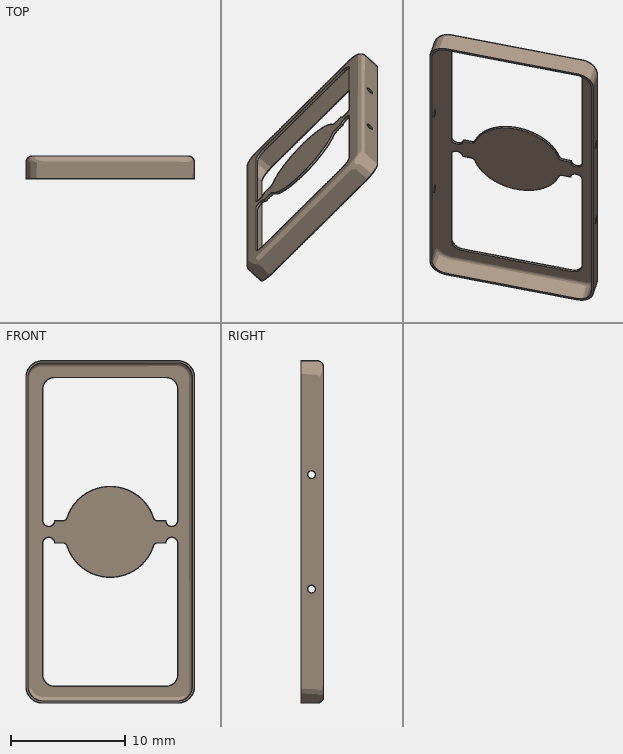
import cadquery as cq

width = 14.8
height = 30.0
depth = 2.0
corner_radius = 1.5
wall = 0.2
floor_edge_radius = 0.6

rim = 1.5
window_radius = 1.0

disc_radius = 4.0
arm_height = 1.98
disc_fillet = 0.3
notch_radius = 0.5

pin_diameter = 0.65
pin_spacing = 10.02
pin_center_y = -0.05

window_width = width - 2 * rim
window_height = height - 2 * rim
floor_inner_y = depth / 2 - wall


def rounded_block(size_x, size_z, corner, y_start, y_end):
    """Block with rounded corners in XZ, extending from y_start to y_end."""
    return (
        cq.Workplane("XZ", origin=(0, y_start, 0))
        .rect(size_x, size_z)
        .extrude(y_start - y_end)
        .edges("|Y")
        .fillet(corner)
    )


def make_tray():
    """Thin-walled tray whose floor edge is rounded inside and outside."""
    outer = rounded_block(width, height, corner_radius, -depth / 2, depth / 2)
    outer = outer.faces(">Y").edges().fillet(floor_edge_radius)
    cavity = rounded_block(
        width - 2 * wall, height - 2 * wall, corner_radius - wall, -depth / 2, floor_inner_y
    )
    cavity = cavity.faces(">Y").edges().fillet(floor_edge_radius - wall)
    return outer.cut(cavity)


def floor_plane():
    return cq.Workplane("XZ", origin=(0, floor_inner_y, 0))


def make_disc_with_arms():
    """Disc on two arms, each arm necked by round notches next to the rim."""
    arms = floor_plane().rect(window_width, arm_height).extrude(-wall)
    disc = floor_plane().circle(disc_radius).extrude(-wall)
    inner_corners = cq.selectors.BoxSelector(
        (-disc_radius, -depth, -arm_height), (disc_radius, depth, arm_height)
    )
    carrier = arms.union(disc).edges("|Y").edges(inner_corners).fillet(disc_fillet)
    notch_x = window_width / 2 - notch_radius
    notch_z = arm_height / 2
    notches = (
        floor_plane()
        .pushPoints([(x, z) for x in (-notch_x, notch_x) for z in (-notch_z, notch_z)])
        .circle(notch_radius)
        .extrude(-wall)
    )
    return carrier.cut(notches)


def make_pin_holes():
    return (
        cq.Workplane("YZ", origin=(-width / 2, 0, 0))
        .pushPoints([(pin_center_y, -pin_spacing / 2), (pin_center_y, pin_spacing / 2)])
        .circle(pin_diameter / 2)
        .extrude(width)
    )


window = rounded_block(window_width, window_height, window_radius, floor_inner_y, depth / 2)
result = make_tray().cut(window).union(make_disc_with_arms()).cut(make_pin_holes())